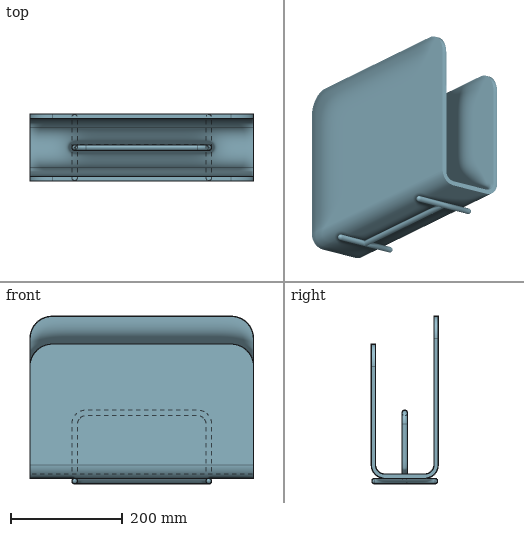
import cadquery as cq

WIDTH = 400.0
DEPTH = 120.0
TOTAL_HEIGHT = 300.0
FRONT_HEIGHT = 250.0
SHEET = 8.0
BEND_RADIUS = 24.0
CORNER_RADIUS = 40.0

ROD_DIAMETER = 10.0
ROD_RADIUS = ROD_DIAMETER / 2
FOOT_LENGTH = 118.0
FOOT_SPACING = 240.0
DIVIDER_TOP = 132.0
DIVIDER_BEND = 20.0

SHELL_BOTTOM = ROD_DIAMETER
FLOOR_TOP = SHELL_BOTTOM + SHEET
FOOT_X = FOOT_SPACING / 2


def wall(height, y_min):
    """Upright wall, square at the base and rounded at its upper corners."""
    return (
        cq.Workplane("XY")
        .box(WIDTH, SHEET, height - SHELL_BOTTOM, centered=(True, False, False))
        .edges("|Y and >Z")
        .fillet(CORNER_RADIUS)
        .translate((0, y_min, SHELL_BOTTOM))
    )


def make_shell():
    """One bent sheet: a floor with a low front wall and a high back wall."""
    floor = (
        cq.Workplane("XY")
        .box(WIDTH, DEPTH, SHEET, centered=(True, True, False))
        .translate((0, 0, SHELL_BOTTOM))
    )
    front = wall(FRONT_HEIGHT, -DEPTH / 2)
    back = wall(TOTAL_HEIGHT, DEPTH / 2 - SHEET)
    shell = floor.union(front).union(back)
    shell = shell.edges("|X and <Z").fillet(BEND_RADIUS)
    inner_corners = cq.selectors.BoxSelector(
        (-WIDTH, -DEPTH / 2 + SHEET / 2, FLOOR_TOP - SHEET / 2),
        (WIDTH, DEPTH / 2 - SHEET / 2, FLOOR_TOP + SHEET / 2),
    )
    return shell.edges("|X").edges(inner_corners).fillet(BEND_RADIUS - SHEET)


def make_foot(x):
    """Rod along Y with hemispherical ends, revolved about its own axis."""
    end = FOOT_LENGTH / 2
    straight_end = end - ROD_RADIUS
    return (
        cq.Workplane("XY", origin=(x, 0, ROD_RADIUS))
        .moveTo(0, -end)
        .radiusArc((ROD_RADIUS, -straight_end), -ROD_RADIUS)
        .lineTo(ROD_RADIUS, straight_end)
        .radiusArc((0, end), -ROD_RADIUS)
        .close()
        .revolve(360, (0, 0, 0), (0, 1, 0))
    )


def make_crossbar(feet):
    """Rod along X between the feet, its ends hollowed to fit around them."""
    bar = (
        cq.Workplane("YZ", origin=(-FOOT_X, 0, ROD_RADIUS))
        .circle(ROD_RADIUS)
        .extrude(FOOT_SPACING)
    )
    for foot in feet:
        bar = bar.cut(foot)
    return bar


def make_divider():
    """Upside-down U of bent rod standing on the floor."""
    shoulder = DIVIDER_TOP - ROD_RADIUS - DIVIDER_BEND
    path = (
        cq.Workplane("XZ")
        .moveTo(-FOOT_X, FLOOR_TOP)
        .lineTo(-FOOT_X, shoulder)
        .radiusArc((-FOOT_X + DIVIDER_BEND, shoulder + DIVIDER_BEND), DIVIDER_BEND)
        .lineTo(FOOT_X - DIVIDER_BEND, shoulder + DIVIDER_BEND)
        .radiusArc((FOOT_X, shoulder), DIVIDER_BEND)
        .lineTo(FOOT_X, FLOOR_TOP)
    )
    return (
        cq.Workplane("XY", origin=(-FOOT_X, 0, FLOOR_TOP))
        .circle(ROD_RADIUS)
        .sweep(path)
    )


shell = make_shell()
feet = [make_foot(x) for x in (-FOOT_X, FOOT_X)]
crossbar = make_crossbar(feet)
divider = make_divider()

result = cq.Compound.makeCompound(
    [
        shell.solids().val(),
        *[foot.val() for foot in feet],
        crossbar.solids().val(),
        divider.val(),
    ]
)